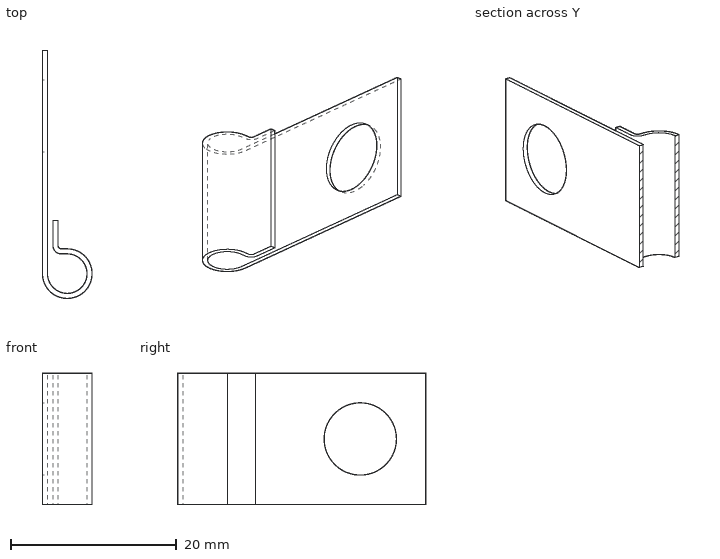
import cadquery as cq

thickness = 0.635
width = 15.88
overall_length = 29.98
roll_outer_diameter = 6.02
lip_gap = 0.635
lip_reach = 9.43
lip_inner_radius = 0.381
hole_diameter = 8.71
hole_end_distance = 7.92

roll_outer_radius = roll_outer_diameter / 2
roll_inner_radius = roll_outer_radius - thickness
leaf_outer_x = -roll_outer_radius
leaf_inner_x = -roll_inner_radius
leaf_end_y = overall_length - roll_outer_radius
lip_left_x = leaf_inner_x + lip_gap
lip_right_x = lip_left_x + thickness
lip_tip_y = lip_reach - roll_outer_radius
lip_outer_radius = lip_inner_radius + thickness
bend_center_x = lip_right_x + lip_inner_radius
bend_center_y = roll_outer_radius + lip_inner_radius


def make_strip():
    """Bent strip: straight leaf, three-quarter roll, then a lip turned back along the leaf."""
    profile = (
        cq.Workplane("XY")
        .moveTo(leaf_outer_x, leaf_end_y)
        .lineTo(leaf_outer_x, 0)
        .radiusArc((0, -roll_outer_radius), -roll_outer_radius)
        .radiusArc((roll_outer_radius, 0), -roll_outer_radius)
        .radiusArc((0, roll_outer_radius), -roll_outer_radius)
        .lineTo(bend_center_x, roll_outer_radius)
        .radiusArc((lip_right_x, bend_center_y), lip_inner_radius)
        .lineTo(lip_right_x, lip_tip_y)
        .lineTo(lip_left_x, lip_tip_y)
        .lineTo(lip_left_x, bend_center_y)
        .radiusArc((bend_center_x, roll_inner_radius), -lip_outer_radius)
        .lineTo(0, roll_inner_radius)
        .radiusArc((roll_inner_radius, 0), roll_inner_radius)
        .radiusArc((0, -roll_inner_radius), roll_inner_radius)
        .radiusArc((leaf_inner_x, 0), roll_inner_radius)
        .lineTo(leaf_inner_x, leaf_end_y)
        .close()
    )
    return profile.extrude(width / 2, both=True).clean()


def make_hole_cutter():
    """Cylinder along X that pierces the leaf."""
    return (
        cq.Workplane("YZ", origin=(leaf_outer_x, 0, 0))
        .center(leaf_end_y - hole_end_distance, 0)
        .circle(hole_diameter / 2)
        .extrude(thickness)
    )


result = make_strip().cut(make_hole_cutter())